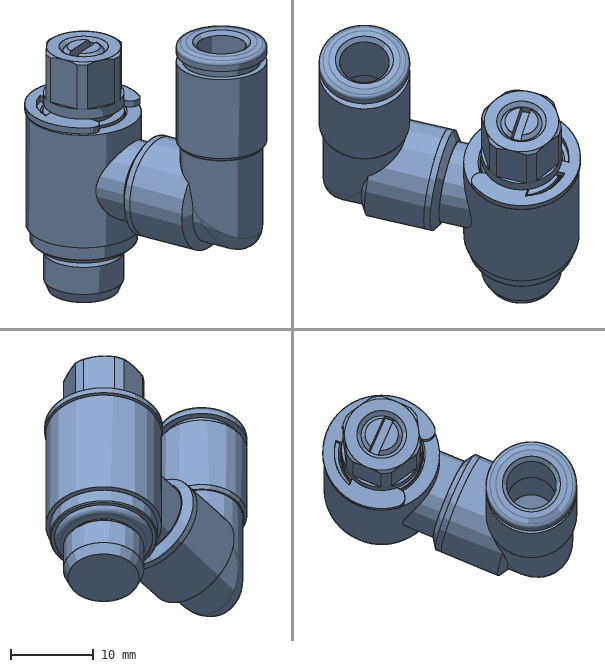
import cadquery as cq
import math


thread_d = 9.75
thread_root_d = 8.6
thread_tip_taper = 1.35
thread_top_z = 4.95
flange_d = 13.0
flange_bottom_z = 6.52
flange_top_z = 8.4
flange_chamfer = 0.15
shaft_d = 9.9
groove_d = 7.5
groove_bottom_z = 23.62
groove_top_z = 24.68
head_d = 9.75
head_base_d = 9.82
head_flats = 9.0
head_flats_bottom_z = 26.0
head_top_z = 32.1
head_chamfer_height = 0.25

needle_d = 5.0
needle_tip_d = 4.0
needle_bottom_z = 22.5
needle_seat_d = 6.0
screwdriver_slot_width = 1.2
screwdriver_slot_depth = 1.5

gasket_d = 11.9
gasket_height = 0.8

housing_d = 14.0
housing_bottom_z = 8.5
housing_top_z = 23.48
housing_bore_d = 10.1
housing_bore_mouth_d = 10.5
pipe_d = 9.98
pipe_z = 16.0
pipe_end_x = 15.0

clip_d = 14.3
clip_bottom_z = 23.75
clip_thickness = 0.8
clip_opening = 6.82
clip_corner_r = 1.2
window_outer_d = 11.48
window_right_x = -2.0
window_gap = 1.72

swivel_d = 12.5
collar_face_d = 10.25
collar_start_x = 8.95
collar_chamfer_length = 0.8
collar_end_x = 10.55
swivel_end_x = 18.75
swivel_end_chamfer = 0.8
leg_d = 10.0
elbow_outer_fillet = 2.0
tube_x = 19.72
tube_d = 11.0
tube_foot_d = 10.3
tube_foot_z = 24.05
tube_foot_chamfer_height = 0.45
tube_top_z = 35.0
tube_bore_d = 6.0
tube_bore_floor_z = 22.5
drill_point_angle = 120.0

release_d = 11.0
release_neck_d = 9.5
release_bottom_z = 30.0
release_rim_bottom_z = 36.08
release_round = 0.5
release_round_top_z = 37.3
release_flat_d = 8.62
release_mouth_d = 7.0
top_z = 37.5


def turned(points):
    """Revolve a closed (radius, z) outline about the Z axis."""
    return cq.Workplane("XZ").polyline(points).close().revolve(360, (0, 0), (0, 1))


def rod_z(diameter, bottom_z, upper_z, x=0):
    return cq.Workplane("XY", origin=(x, 0, bottom_z)).circle(diameter / 2).extrude(upper_z - bottom_z)


def rod_x(diameter, start_x, end_x):
    """Cylinder along the axis of the side pipe."""
    return cq.Workplane("YZ", origin=(start_x, 0, pipe_z)).circle(diameter / 2).extrude(end_x - start_x)


def make_stem():
    neck_start_z = thread_top_z + (thread_d - thread_root_d) / 2
    body = turned([
        (0, 0),
        (thread_root_d / 2, 0),
        (thread_d / 2, thread_tip_taper),
        (thread_d / 2, thread_top_z),
        (thread_root_d / 2, neck_start_z),
        (thread_root_d / 2, flange_bottom_z),
        (flange_d / 2 - flange_chamfer, flange_bottom_z),
        (flange_d / 2, flange_bottom_z + flange_chamfer),
        (flange_d / 2, flange_top_z),
        (shaft_d / 2, flange_top_z),
        (shaft_d / 2, groove_bottom_z),
        (groove_d / 2, groove_bottom_z),
        (groove_d / 2, groove_top_z),
        (head_base_d / 2, groove_top_z),
        (head_d / 2, head_flats_bottom_z),
        (head_d / 2, head_top_z - head_chamfer_height),
        (head_flats / 2, head_top_z),
        (0, head_top_z),
    ])
    hexagon_corner_d = head_flats / math.cos(math.pi / 6)
    flats_height = head_top_z - head_flats_bottom_z
    flats_cut = (
        cq.Workplane("XY", origin=(0, 0, head_flats_bottom_z))
        .circle(shaft_d)
        .polygon(6, hexagon_corner_d)
        .extrude(flats_height)
    )
    seat_depth = (needle_seat_d - needle_d) / 2
    needle_hole = turned([
        (0, needle_bottom_z),
        (needle_d / 2, needle_bottom_z),
        (needle_d / 2, head_top_z - seat_depth),
        (needle_seat_d / 2, head_top_z),
        (0, head_top_z),
    ])
    return body.cut(flats_cut).cut(needle_hole)


def make_needle():
    rod = rod_z(needle_d, needle_bottom_z, head_top_z)
    rod = rod.faces(">Z").edges().chamfer((needle_d - needle_tip_d) / 2)
    slot = cq.Workplane("XY", origin=(0, 0, head_top_z)).rect(screwdriver_slot_width, needle_d)
    return rod.cut(slot.extrude(-screwdriver_slot_depth))


def make_gasket():
    round_r = gasket_height
    bottom_z = flange_bottom_z - gasket_height
    middle = round_r * math.sqrt(0.5)
    round_center_r = gasket_d / 2 - round_r
    return (
        cq.Workplane("XZ")
        .moveTo(thread_root_d / 2, bottom_z)
        .lineTo(round_center_r, bottom_z)
        .threePointArc((round_center_r + middle, flange_bottom_z - middle), (gasket_d / 2, flange_bottom_z))
        .lineTo(thread_root_d / 2, flange_bottom_z)
        .close()
        .revolve(360, (0, 0), (0, 1))
    )


def make_housing():
    sleeve = rod_z(housing_d, housing_bottom_z, housing_top_z)
    pipe = rod_x(pipe_d, 0, pipe_end_x)
    mouth_depth = (housing_bore_mouth_d - housing_bore_d) / 2
    bore = turned([
        (0, housing_bottom_z),
        (housing_bore_d / 2, housing_bottom_z),
        (housing_bore_d / 2, housing_top_z - mouth_depth),
        (housing_bore_mouth_d / 2, housing_top_z),
        (0, housing_top_z),
    ])
    return sleeve.union(pipe).cut(bore)


def make_clip():
    plane = cq.Workplane("XY", origin=(0, 0, clip_bottom_z))
    ring = plane.circle(clip_d / 2).circle(groove_d / 2).extrude(clip_thickness)
    opening = plane.center(clip_d / 2, 0).rect(clip_d, clip_opening).extrude(clip_thickness)
    ring = ring.cut(opening)
    opening_corner_x = math.sqrt(clip_d**2 - clip_opening**2) / 2
    corner_box = cq.selectors.BoxSelector(
        (opening_corner_x - 0.38, -clip_d, clip_bottom_z),
        (opening_corner_x + 0.38, clip_d, clip_bottom_z + clip_thickness),
    )
    ring = ring.edges("|Z").edges(corner_box).fillet(clip_corner_r)
    windows = plane.circle(window_outer_d / 2).extrude(clip_thickness)
    for side in (-1, 1):
        window_limits = (
            plane.center(window_right_x - clip_d / 2, side * (window_gap + clip_d) / 2)
            .rect(clip_d, clip_d)
            .extrude(clip_thickness)
        )
        ring = ring.cut(windows.intersect(window_limits))
    return ring


def make_collar():
    collar = rod_x(swivel_d, collar_start_x, collar_end_x)
    face_step = (swivel_d - collar_face_d) / 2
    collar = collar.faces("<X").edges().chamfer(collar_chamfer_length, face_step)
    return collar.cut(rod_x(pipe_d, collar_start_x, collar_end_x))


def make_mitred_corner():
    """Outer corner of the elbow, where two equal legs meet in a rounded mitre."""
    reach = leg_d
    across = rod_x(leg_d, tube_x - reach, tube_x + reach)
    upright = rod_z(leg_d, pipe_z - reach, pipe_z + reach, tube_x)
    quarter = cq.Workplane("XY").box(reach, 2 * reach, reach, centered=(False, True, False))
    quarter = quarter.translate((tube_x, 0, pipe_z - reach))
    corner = across.intersect(upright).intersect(quarter)
    mitre_point = (tube_x + leg_d / 2, 0, pipe_z - leg_d / 2)
    return corner.edges(cq.selectors.NearestToPointSelector(mitre_point)).fillet(elbow_outer_fillet)


def make_elbow():
    swivel = rod_x(swivel_d, collar_end_x, swivel_end_x)
    swivel = swivel.faces(">X").edges().chamfer(swivel_end_chamfer, (swivel_d - leg_d) / 2)
    across_leg = rod_x(leg_d, collar_end_x, tube_x)
    upright_leg = rod_z(leg_d, pipe_z, tube_top_z, tube_x)
    tube = turned([
        (0, tube_foot_z),
        (tube_foot_d / 2, tube_foot_z),
        (tube_d / 2, tube_foot_z + tube_foot_chamfer_height),
        (tube_d / 2, tube_top_z),
        (0, tube_top_z),
    ]).translate((tube_x, 0, 0))
    body = make_mitred_corner().union(across_leg).union(upright_leg).union(swivel).union(tube)
    drill_point = tube_bore_d / 2 / math.tan(math.radians(drill_point_angle / 2))
    bore = turned([
        (0, tube_bore_floor_z - drill_point),
        (tube_bore_d / 2, tube_bore_floor_z),
        (tube_bore_d / 2, release_bottom_z),
        (release_neck_d / 2, release_bottom_z),
        (release_neck_d / 2, tube_top_z),
        (0, tube_top_z),
    ]).translate((tube_x, 0, 0))
    pipe_socket = rod_x(pipe_d, collar_end_x, pipe_end_x)
    return body.cut(bore).cut(pipe_socket)


def make_release_ring():
    round_start_z = release_round_top_z - release_round
    round_center_r = release_d / 2 - release_round
    middle = release_round * math.sqrt(0.5)
    mouth_depth = (release_mouth_d - tube_bore_d) / 2
    return (
        cq.Workplane("XZ")
        .moveTo(tube_bore_d / 2, release_bottom_z)
        .lineTo(release_neck_d / 2, release_bottom_z)
        .lineTo(release_neck_d / 2, release_rim_bottom_z)
        .lineTo(release_d / 2, release_rim_bottom_z)
        .lineTo(release_d / 2, round_start_z)
        .threePointArc(
            (round_center_r + middle, round_start_z + middle),
            (round_center_r, release_round_top_z),
        )
        .lineTo(release_flat_d / 2, top_z)
        .lineTo(release_mouth_d / 2, top_z)
        .lineTo(tube_bore_d / 2, top_z - mouth_depth)
        .close()
        .revolve(360, (0, 0), (0, 1))
        .translate((tube_x, 0, 0))
    )


stem = make_stem()
needle = make_needle()
gasket = make_gasket()
housing = make_housing()
clip = make_clip()
collar = make_collar()
elbow = make_elbow()
release_ring = make_release_ring()

result = cq.Compound.makeCompound([
    stem.val(),
    needle.val(),
    gasket.val(),
    housing.val(),
    clip.val(),
    collar.val(),
    elbow.val(),
    release_ring.val(),
])